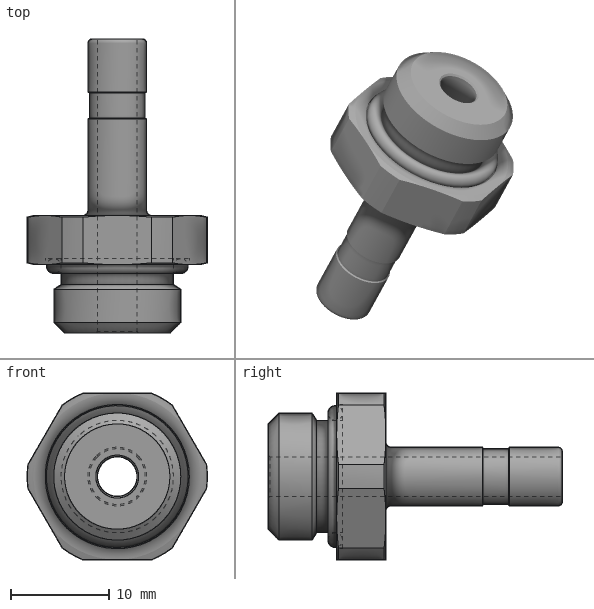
import cadquery as cq
import math

total_length = 30.0
thread_end = 4.47
neck_start = 4.95
hex_front = 7.0
hex_rear = 12.0

thread_radius = 6.48
thread_chamfer = 1.1
neck_radius = 5.73

across_flats = 17.0
corner_radius = 9.195
hex_chamfer_length = 0.18

stem_radius = 3.0
stem_root_fillet = 0.5
stem_end_fillet = 0.45
groove_radius = 2.85
groove_rear = total_length - 5.4
groove_front = total_length - 8.15
groove_wall_run = 0.1

bore_radius = 2.0
bore_chamfer = 0.18

ring_section_radius = 0.75
ring_center_radius = neck_radius + ring_section_radius
ring_protrusion = 0.9
ring_center_y = hex_front - ring_protrusion + ring_section_radius
recess_radius = 7.35
recess_depth = 2 * ring_section_radius - ring_protrusion

AXIS_START = (0, 0)
AXIS_END = (0, 1)


def turn(profile):
    """Revolve a closed radius-height profile around the Y axis."""
    return profile.close().revolve(360, AXIS_START, AXIS_END)


def cylinder(radius, start, end):
    """Cylinder on the Y axis between two Y positions."""
    return turn(
        cq.Workplane("XY").moveTo(0, start).lineTo(radius, start).lineTo(radius, end).lineTo(0, end)
    )


def make_spigot():
    """Threaded spigot, chamfered at its end, with a narrower neck up to the hexagon."""
    return turn(
        cq.Workplane("XY")
        .lineTo(thread_radius - thread_chamfer, 0)
        .lineTo(thread_radius, thread_chamfer)
        .lineTo(thread_radius, thread_end)
        .lineTo(neck_radius, neck_start)
        .lineTo(neck_radius, hex_rear)
        .lineTo(0, hex_rear)
    )


def make_hexagon():
    """Hexagon with flats at top and bottom, turned corners and chamfered faces."""
    across_corners = across_flats / math.cos(math.pi / 6)
    prism = (
        cq.Workplane("XZ", origin=(0, hex_rear, 0))
        .polygon(6, across_corners)
        .extrude(hex_rear - hex_front)
    )
    face_radius = across_flats / 2
    envelope = turn(
        cq.Workplane("XY")
        .moveTo(0, hex_front)
        .lineTo(face_radius, hex_front)
        .lineTo(corner_radius, hex_front + hex_chamfer_length)
        .lineTo(corner_radius, hex_rear - hex_chamfer_length)
        .lineTo(face_radius, hex_rear)
        .lineTo(0, hex_rear)
    )
    recess = cylinder(recess_radius, hex_front, hex_front + recess_depth)
    return prism.intersect(envelope).cut(recess)


def make_stem():
    """Stem with a root fillet, a retaining groove and a rounded end."""
    return turn(
        cq.Workplane("XY")
        .moveTo(0, hex_front + recess_depth)
        .lineTo(stem_radius, hex_front + recess_depth)
        .lineTo(stem_radius, hex_rear)
        .lineTo(stem_radius + stem_root_fillet, hex_rear)
        .radiusArc((stem_radius, hex_rear + stem_root_fillet), stem_root_fillet)
        .lineTo(stem_radius, groove_front)
        .lineTo(groove_radius, groove_front + groove_wall_run)
        .lineTo(groove_radius, groove_rear - groove_wall_run)
        .lineTo(stem_radius, groove_rear)
        .lineTo(stem_radius, total_length - stem_end_fillet)
        .radiusArc((stem_radius - stem_end_fillet, total_length), -stem_end_fillet)
        .lineTo(0, total_length)
    )


def make_bore():
    """Through bore with a small chamfer at the threaded end."""
    return turn(
        cq.Workplane("XY")
        .lineTo(bore_radius + bore_chamfer, 0)
        .lineTo(bore_radius, bore_chamfer)
        .lineTo(bore_radius, total_length)
        .lineTo(0, total_length)
    )


def make_fitting():
    """One-piece fitting: spigot, hexagon and stem with a common bore."""
    return make_hexagon().union(make_spigot()).union(make_stem()).cut(make_bore())


def make_sealing_ring():
    """O-ring of round section, touching the neck and the floor of the recess."""
    return (
        cq.Workplane("XY")
        .moveTo(ring_center_radius, ring_center_y)
        .circle(ring_section_radius)
        .revolve(360, AXIS_START, AXIS_END)
    )


fitting = make_fitting()
sealing_ring = make_sealing_ring()
result = cq.Compound.makeCompound([fitting.val(), sealing_ring.val()])